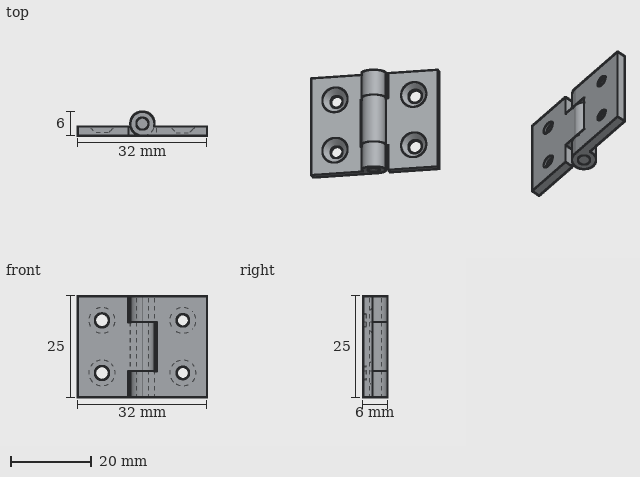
import cadquery as cq
import math

width = 32.0
height = 25.0
barrel_diameter = 6.0
barrel_radius = barrel_diameter / 2
pin_diameter = 3.0
leaf_thickness = 2.35

middle_knuckle_length = 12.1
end_knuckle_length = (height - middle_knuckle_length) / 2
barrel_clearance = 0.48

hole_offset = 10.0
hole_spacing = 13.0
left_hole_diameter = 3.4
right_hole_diameter = 3.0
countersink_angle = 90.0
countersink_diameter = 6.4

half_width = width / 2
half_height = height / 2
plate_back = leaf_thickness - barrel_radius
cut_reach = barrel_radius + barrel_clearance


def block(x_start, x_end, y_start, y_end, z_start, z_end):
    """Box between two corners."""
    size = (x_end - x_start, y_end - y_start, z_end - z_start)
    return cq.Workplane("XY").box(*size, centered=False).translate((x_start, y_start, z_start))


def cylinder(diameter, z_start, length):
    """Cylinder on the pin axis."""
    return cq.Workplane("XY").workplane(offset=z_start).circle(diameter / 2).extrude(length)


def knuckle_gap(z_start, length):
    """Room cut from a leaf for a knuckle of the other leaf."""
    return block(-cut_reach, cut_reach, -barrel_radius, barrel_radius, z_start, z_start + length)


def screw_hole(x, z, diameter):
    """Short straight hole from the flat front of a leaf, opening into a countersink at its back."""
    radius = diameter / 2
    back_radius = countersink_diameter / 2
    cone_depth = (back_radius - radius) / math.tan(math.radians(countersink_angle / 2))
    straight_end = plate_back - cone_depth
    profile = [
        (0, -barrel_radius),
        (radius, -barrel_radius),
        (radius, straight_end),
        (back_radius, plate_back),
        (0, plate_back),
    ]
    hole = cq.Workplane("XY").polyline(profile).close().revolve(360, (0, 0), (0, 1))
    return hole.translate((x, 0, z))


def make_leaf(side, knuckles, gaps, hole_diameter):
    """Leaf flush with the front of its barrel; side is -1 for left and 1 for right."""
    x_start, x_end = sorted((0, side * half_width))
    leaf = block(x_start, x_end, -barrel_radius, plate_back, -half_height, half_height)
    for z_start, length in gaps:
        leaf = leaf.cut(knuckle_gap(z_start, length))
    for z_start, length in knuckles:
        leaf = leaf.union(cylinder(barrel_diameter, z_start, length))
    leaf = leaf.cut(cylinder(pin_diameter, -half_height, height))
    for z in (-hole_spacing / 2, hole_spacing / 2):
        leaf = leaf.cut(screw_hole(side * hole_offset, z, hole_diameter))
    return leaf


middle_spans = [(-middle_knuckle_length / 2, middle_knuckle_length)]
end_spans = [
    (-half_height, end_knuckle_length),
    (middle_knuckle_length / 2, end_knuckle_length),
]

left_leaf = make_leaf(-1, middle_spans, end_spans, left_hole_diameter)
right_leaf = make_leaf(1, end_spans, middle_spans, right_hole_diameter)
pin = cylinder(pin_diameter, -half_height, height)

result = cq.Compound.makeCompound([left_leaf.val(), right_leaf.val(), pin.val()])